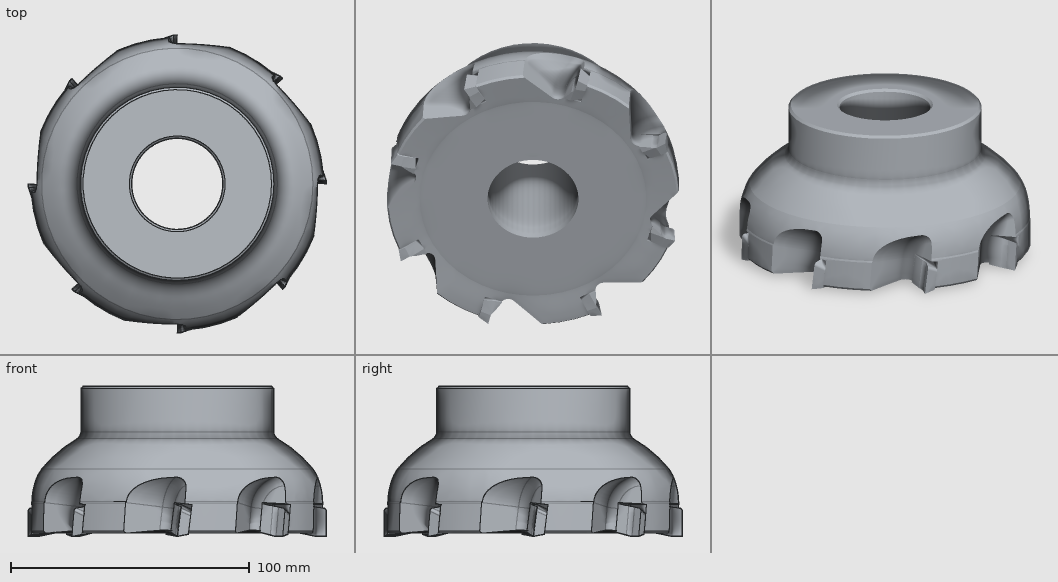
import cadquery as cq
import math

TOOTH_COUNT = 8
CUTTING_RADIUS = 62.5
TOTAL_HEIGHT = 63.0

BORE_DIAMETER = 38.1
BORE_CHAMFER = 1.0
HUB_DIAMETER = 81.0
HUB_TOP_DIAMETER = 79.0
NECK_TOP_Z = 43.8
NECK_BOTTOM_Z = 41.0
NECK_BOTTOM_RADIUS = 42.0
NECK_SAG = 0.31
SHOULDER_BOTTOM_Z = 28.4
SHOULDER_BOTTOM_RADIUS = 56.9
SHOULDER_SAG = 0.9
ROUNDING_SAG = 1.06
SKIRT_RADIUS = 61.0
BAND_RADIUS = 61.3
BAND_TOP_Z = 14.0
BAND_STEP_HEIGHT = 0.8
BAND_BOTTOM_Z = 2.4
RIM_Z = 1.4
RIM_RADIUS = 60.5
DISH_FLOOR_Z = 3.0
DISH_FLOOR_RADIUS = 47.5

LEAN_ANGLE = 7.0

GULLET_CORNER_X = 48.5
GULLET_CORNER_Y = -4.4
GULLET_TURN = 25.0
GULLET_ROOT_RADIUS = 3.6
GULLET_TOP_Z = 25.3
GULLET_ROOF_RADIUS = 13.8
GULLET_REACH = 37.5
BREAKOUT = 6.3

INSERT_INNER_X = 51.6
INSERT_BACK_Y = 4.5
INSERT_OUTER_HEIGHT = 11.9
INSERT_INNER_HEIGHT = 13.5
INSERT_INNER_RISE = 1.4
INSERT_WIPER_LENGTH = 4.4
INSERT_CORNER_RADIUS = 1.4
INSERT_CLEARANCE_ANGLE = 18.0
INSERT_FRONT_Y = -5.0
RAKE_FLAT_END_X = 56.0
RAKE_LAND_START_X = 58.3
RAKE_LAND_Y = 0.3
GROOVE_SAG = 0.19
POCKET_TOP_Z = 14.0


def lean(tooth_shape):
    """Lean a tooth shape back about the radial line."""
    return tooth_shape.rotate((0, 0, 0), (1, 0, 0), -LEAN_ANGLE)


def around_axis(tooth_shape):
    """Copies of a tooth shape at every tooth position."""
    pitch = 360.0 / TOOTH_COUNT
    return [tooth_shape.rotate((0, 0, 0), (0, 0, 1), i * pitch) for i in range(TOOTH_COUNT)]


def bulged(start, end, sag):
    """Middle point of an arc that stands out by sag to the left of start-end."""
    dx = end[0] - start[0]
    dy = end[1] - start[1]
    chord = math.hypot(dx, dy)
    return ((start[0] + end[0]) / 2 - dy / chord * sag, (start[1] + end[1]) / 2 + dx / chord * sag)


def gullet_wall_y(x):
    """Y of the gullet's tooth-side wall at radial position x."""
    return GULLET_CORNER_Y + (x - GULLET_CORNER_X) * math.tan(math.radians(GULLET_TURN))


def turned_body():
    bore_radius = BORE_DIAMETER / 2
    hub_radius = HUB_DIAMETER / 2
    hub_top_radius = HUB_TOP_DIAMETER / 2
    neck_top = (hub_radius, NECK_TOP_Z)
    neck_bottom = (NECK_BOTTOM_RADIUS, NECK_BOTTOM_Z)
    shoulder_bottom = (SHOULDER_BOTTOM_RADIUS, SHOULDER_BOTTOM_Z)
    rounding_end = (SKIRT_RADIUS, BAND_TOP_Z + BAND_STEP_HEIGHT)
    return (
        cq.Workplane("XZ")
        .moveTo(bore_radius, DISH_FLOOR_Z)
        .lineTo(bore_radius, TOTAL_HEIGHT - BORE_CHAMFER)
        .lineTo(bore_radius + BORE_CHAMFER, TOTAL_HEIGHT)
        .lineTo(hub_top_radius, TOTAL_HEIGHT)
        .lineTo(hub_radius, TOTAL_HEIGHT - (hub_radius - hub_top_radius))
        .lineTo(*neck_top)
        .threePointArc(bulged(neck_top, neck_bottom, -NECK_SAG), neck_bottom)
        .threePointArc(bulged(neck_bottom, shoulder_bottom, SHOULDER_SAG), shoulder_bottom)
        .threePointArc(bulged(shoulder_bottom, rounding_end, ROUNDING_SAG), rounding_end)
        .lineTo(BAND_RADIUS, BAND_TOP_Z)
        .lineTo(BAND_RADIUS, BAND_BOTTOM_Z)
        .lineTo(RIM_RADIUS, RIM_Z)
        .lineTo(DISH_FLOOR_RADIUS, DISH_FLOOR_Z)
        .close()
        .revolve(360, (0, 0, 0), (0, 1, 0))
    )


def gullet_cutter():
    """Block with a rounded roof, its tooth-side wall blended into the root and roof."""
    block = (
        cq.Workplane("XZ")
        .moveTo(0, -BREAKOUT)
        .lineTo(0, GULLET_TOP_Z - GULLET_ROOF_RADIUS)
        .radiusArc((GULLET_ROOF_RADIUS, GULLET_TOP_Z), GULLET_ROOF_RADIUS)
        .lineTo(GULLET_REACH, GULLET_TOP_Z)
        .lineTo(GULLET_REACH, -BREAKOUT)
        .close()
        .extrude(GULLET_REACH)
    )
    root_and_roof = block.faces(">Y").edges("<X or >Z or %CIRCLE")
    return lean(
        root_and_roof.fillet(GULLET_ROOT_RADIUS)
        .rotate((0, 0, 0), (0, 0, 1), GULLET_TURN)
        .translate((GULLET_CORNER_X, GULLET_CORNER_Y, 0))
    )


def pocket_cutter():
    """Seat behind the gullet wall, open to the front, outside and below."""
    length = CUTTING_RADIUS + BREAKOUT - INSERT_INNER_X
    width = INSERT_BACK_Y - INSERT_FRONT_Y
    height = POCKET_TOP_Z + BREAKOUT
    box = cq.Workplane("XY").box(length, width, height, centered=False)
    return lean(box.translate((INSERT_INNER_X, INSERT_FRONT_Y, -BREAKOUT)))


def insert_outline(inset):
    """Side outline of the insert with its sides drawn in by an inset."""
    inner_x = INSERT_INNER_X + inset
    outer_x = CUTTING_RADIUS - inset
    return (
        cq.Sketch()
        .polygon([
            (inner_x, INSERT_INNER_RISE + inset),
            (CUTTING_RADIUS - INSERT_WIPER_LENGTH, inset),
            (outer_x, inset),
            (outer_x, INSERT_OUTER_HEIGHT - inset),
            (inner_x, INSERT_INNER_HEIGHT - inset),
            (inner_x, INSERT_INNER_RISE + inset),
        ])
        .vertices(">(1, 1, 0)")
        .fillet(INSERT_CORNER_RADIUS)
    )


def make_insert():
    """Insert with clearance on all sides and a hooked rake face."""
    plane = cq.Workplane("XZ")
    outline = insert_outline(0)
    front = plane.placeSketch(outline).extrude(-INSERT_FRONT_Y)
    back_inset = INSERT_BACK_Y * math.tan(math.radians(INSERT_CLEARANCE_ANGLE))
    back_outline = insert_outline(back_inset).moved(cq.Location(cq.Vector(0, 0, -INSERT_BACK_Y)))
    back = plane.placeSketch(outline, back_outline).loft(ruled=True)

    flat_end = (RAKE_FLAT_END_X, gullet_wall_y(RAKE_FLAT_END_X))
    land_start = (RAKE_LAND_START_X, RAKE_LAND_Y)
    inner_x = INSERT_INNER_X - BREAKOUT
    outer_x = CUTTING_RADIUS + BREAKOUT
    back_y = INSERT_BACK_Y + BREAKOUT
    land_slope = RAKE_LAND_Y / (CUTTING_RADIUS - RAKE_LAND_START_X)
    rake_profile = (
        cq.Workplane("XY")
        .workplane(offset=-BREAKOUT)
        .moveTo(inner_x, gullet_wall_y(inner_x))
        .lineTo(*flat_end)
        .threePointArc(bulged(flat_end, land_start, GROOVE_SAG), land_start)
        .lineTo(outer_x, -land_slope * BREAKOUT)
        .lineTo(outer_x, back_y)
        .lineTo(inner_x, back_y)
        .close()
        .extrude(POCKET_TOP_Z + BREAKOUT)
    )
    return lean(front.union(back).intersect(rake_profile).solids())


def make_body():
    body = turned_body()
    for cutter in around_axis(gullet_cutter()) + around_axis(pocket_cutter()):
        body = body.cut(cutter)
    return body.solids()


cutter_body = make_body()
inserts = around_axis(make_insert())

result = cq.Compound.makeCompound([cutter_body.val(), *[insert.val() for insert in inserts]])